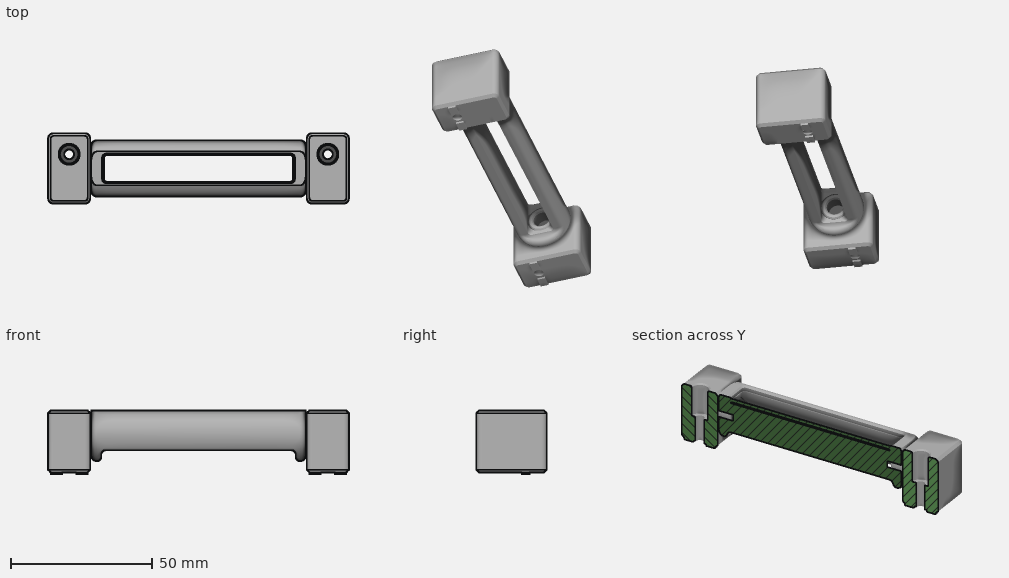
import cadquery as cq
OVERALL_LENGTH = 106.6

BLOCK_LENGTH = 15.0
BLOCK_WIDTH = 25.0
BLOCK_HEIGHT = 22.0
BLOCK_CORNER_RADIUS = 2.0
BLOCK_CHAMFER = 1.0
BLOCK_CENTRE_X = (OVERALL_LENGTH - BLOCK_LENGTH) / 2
BLOCK_INNER_X = OVERALL_LENGTH / 2 - BLOCK_LENGTH

SCREW_Y = 5.0
SCREW_HOLE_DIAMETER = 3.4
COUNTERBORE_DIAMETER = 6.5
COUNTERBORE_DEPTH = 12.0
COUNTERBORE_CHAMFER = 0.5
FOOT_LENGTH = 4.0
FOOT_WIDTH = 2.8
FOOT_HEIGHT = 0.7
FOOT_OFFSET_X = BLOCK_LENGTH / 2 - BLOCK_CHAMFER - FOOT_LENGTH / 2

END_GAP = 0.3
HANDLE_LENGTH = 2 * (BLOCK_INNER_X - END_GAP)
HANDLE_DIAMETER = 20.0
HANDLE_END_FILLET = 2.0
AXIS_DEPTH = 8.0
AXIS_Z = BLOCK_HEIGHT - AXIS_DEPTH

WINDOW_LENGTH = 67.2
WINDOW_WIDTH = 9.4
WINDOW_CORNER_RADIUS = 1.2
WINDOW_CHAMFER = 0.6
GROOVE_DEPTH = 0.4
GROOVE_HEIGHT = 1.6

RELIEF_LENGTH = 68.8
RELIEF_DEPTH = 14.2
RELIEF_Z = BLOCK_HEIGHT - RELIEF_DEPTH
RELIEF_CORNER_RADIUS = 1.5
RELIEF_RIM_FILLET = 1.5
SELECTION_MARGIN = 0.1

PIN_DIAMETER = 10.0
PIN_LENGTH = 5.0
PIN_CHAMFER = 0.5
PIN_BORE_DIAMETER = 6.0
PIN_BORE_CHAMFER = 0.5
PIN_HOLE_DIAMETER = 10.3
PIN_HOLE_OVERRUN = 1.5


def along_x(x):
    """YZ workplane at the given x, centred on the handle axis; it extrudes toward +X."""
    return cq.Workplane("YZ", origin=(x, 0, AXIS_Z))


def screw_cutter():
    """Through hole with a counterbore open at the block top."""
    mouth = cq.Workplane("XY", origin=(0, SCREW_Y, BLOCK_HEIGHT))
    shank = mouth.circle(SCREW_HOLE_DIAMETER / 2).extrude(-BLOCK_HEIGHT)
    head = mouth.circle(COUNTERBORE_DIAMETER / 2).extrude(-COUNTERBORE_DEPTH)
    countersink = (
        mouth.circle(COUNTERBORE_DIAMETER / 2 + COUNTERBORE_CHAMFER)
        .workplane(offset=-COUNTERBORE_CHAMFER)
        .circle(COUNTERBORE_DIAMETER / 2)
        .loft()
    )
    return shank.union(head).union(countersink)


def block_pin(base_x):
    """Hollow pivot pin that starts at base_x and points toward +X."""
    pin = along_x(base_x).circle(PIN_DIAMETER / 2).extrude(PIN_LENGTH)
    pin = pin.faces(">X").chamfer(PIN_CHAMFER)
    bore = along_x(base_x).circle(PIN_BORE_DIAMETER / 2).extrude(PIN_LENGTH)
    bore_mouth = cq.selectors.RadiusNthSelector(0)
    return pin.cut(bore).faces(">X").edges(bore_mouth).chamfer(PIN_BORE_CHAMFER)


def locating_feet():
    """Two low feet under the block, one on each side of the screw hole."""
    return (
        cq.Workplane("XY")
        .pushPoints([(-FOOT_OFFSET_X, SCREW_Y), (FOOT_OFFSET_X, SCREW_Y)])
        .rect(FOOT_LENGTH, FOOT_WIDTH)
        .extrude(-FOOT_HEIGHT)
    )


def end_block():
    """Block centred on x = 0, with its pivot pin toward +X."""
    block = (
        cq.Workplane("XY")
        .box(BLOCK_LENGTH, BLOCK_WIDTH, BLOCK_HEIGHT, centered=(True, True, False))
        .edges("|Z").fillet(BLOCK_CORNER_RADIUS)
        .faces("<Z or >Z").chamfer(BLOCK_CHAMFER)
        .cut(screw_cutter())
    )
    return block.union(locating_feet()).union(block_pin(BLOCK_LENGTH / 2))


def window_outline(z, growth=0.0):
    """Rounded window outline at height z, offset outward by growth."""
    outline = cq.Sketch().rect(WINDOW_LENGTH + 2 * growth, WINDOW_WIDTH + 2 * growth)
    outline = outline.vertices().fillet(WINDOW_CORNER_RADIUS + growth)
    return outline.moved(cq.Location(cq.Vector(0, 0, z)))


def window_cutter():
    """Vertical opening with a flared mouth and an undercut groove that widens downward."""
    rim_z = BLOCK_HEIGHT - WINDOW_CHAMFER
    ledge_z = rim_z - GROOVE_HEIGHT
    opening = cq.Workplane("XY").placeSketch(window_outline(0)).extrude(BLOCK_HEIGHT)
    mouth = cq.Workplane("XY").placeSketch(
        window_outline(rim_z), window_outline(BLOCK_HEIGHT, WINDOW_CHAMFER)).loft()
    groove = cq.Workplane("XY").placeSketch(
        window_outline(ledge_z, GROOVE_DEPTH), window_outline(rim_z)).loft()
    return opening.union(mouth).union(groove)


def relief_cutter():
    """Finger relief under the bar, leaving a foot at each end."""
    return (
        cq.Workplane("XY", origin=(0, 0, RELIEF_Z))
        .rect(RELIEF_LENGTH, HANDLE_DIAMETER)
        .extrude(-HANDLE_DIAMETER)
        .edges("|Y and >Z").fillet(RELIEF_CORNER_RADIUS)
    )


def relief_rim():
    """Selects the edges where the relief meets the round bar."""
    reach_x = RELIEF_LENGTH / 2 + SELECTION_MARGIN
    return cq.selectors.BoxSelector(
        (-reach_x, -HANDLE_DIAMETER, -HANDLE_DIAMETER),
        (reach_x, HANDLE_DIAMETER, RELIEF_Z + SELECTION_MARGIN),
        boundingbox=True,
    )


def top_cutter():
    """Everything above the flat top of the handle."""
    return (
        cq.Workplane("XY", origin=(0, 0, BLOCK_HEIGHT))
        .rect(HANDLE_LENGTH, HANDLE_DIAMETER)
        .extrude(HANDLE_DIAMETER)
    )


def pin_hole_cutter():
    """Hole for the left pin; it also grazes the window sides just past the end wall."""
    depth = (HANDLE_LENGTH - WINDOW_LENGTH) / 2 + PIN_HOLE_OVERRUN
    return along_x(-HANDLE_LENGTH / 2).circle(PIN_HOLE_DIAMETER / 2).extrude(depth)


def handle_body():
    """Handle bar with its top flat, finger relief, window and pin holes."""
    bar = along_x(-HANDLE_LENGTH / 2).circle(HANDLE_DIAMETER / 2).extrude(HANDLE_LENGTH)
    bar = bar.faces("<X or >X").edges().fillet(HANDLE_END_FILLET)
    bar = bar.cut(relief_cutter())
    bar = bar.edges(relief_rim()).edges("not |Y").fillet(RELIEF_RIM_FILLET)
    bar = bar.cut(top_cutter()).cut(window_cutter())
    pin_hole = pin_hole_cutter()
    return bar.cut(pin_hole).cut(pin_hole.mirror("YZ"))


left_block = end_block().translate((-BLOCK_CENTRE_X, 0, 0))
right_block = left_block.mirror("YZ")
handle = handle_body()

result = cq.Compound.makeCompound([left_block.val(), right_block.val(), handle.val()])